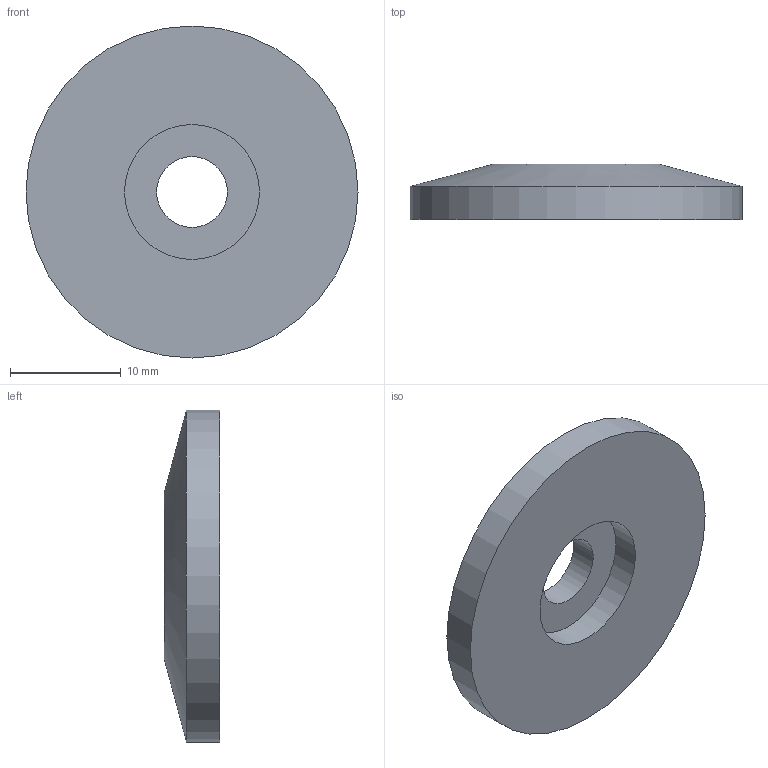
import cadquery as cq

outer_diameter = 30.0
rim_thickness = 3.0
total_thickness = 5.0
back_flat_diameter = 15.0
bore_diameter = 6.4
counterbore_diameter = 12.2
counterbore_depth = 2.5


def disc_body():
    """Cylindrical rim with a flat front at Y = 0 and a conical back ending in a flat."""
    outer_radius = outer_diameter / 2
    back_flat_radius = back_flat_diameter / 2
    half_profile = (
        cq.Workplane("XY")
        .moveTo(0, 0)
        .lineTo(outer_radius, 0)
        .lineTo(outer_radius, rim_thickness)
        .lineTo(back_flat_radius, total_thickness)
        .lineTo(0, total_thickness)
        .close()
    )
    return half_profile.revolve(360, (0, 0, 0), (0, 1, 0))


def hole_cutter(diameter, depth):
    """Cylinder on the disc axis, running from the front face toward +Y."""
    return cq.Workplane("XZ").circle(diameter / 2).extrude(-depth)


through_bore = hole_cutter(bore_diameter, total_thickness)
counterbore = hole_cutter(counterbore_diameter, counterbore_depth)

result = disc_body().cut(through_bore).cut(counterbore)